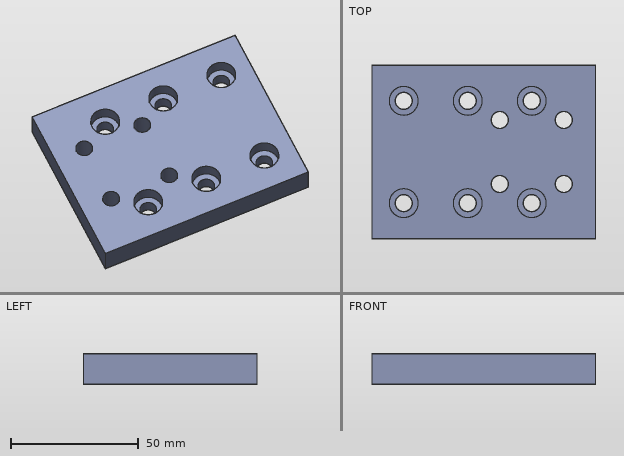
import cadquery as cq

length = 87.5
width = 68.0
thickness = 12.0

hole_diameter = 6.6
counterbore_diameter = 11.3
counterbore_depth = 6.0

pitch = 25.0
counterbore_row_spacing = 40.0
counterbore_columns = 3
counterbore_rows = 2
counterbore_center_x = -pitch / 4
square_center_x = 3 * pitch / 4

plate = cq.Workplane("XY").box(length, width, thickness)

counterbored_plate = (
    plate.faces(">Z")
    .workplane(origin=(counterbore_center_x, 0, 0))
    .rarray(pitch, counterbore_row_spacing, counterbore_columns, counterbore_rows)
    .cboreHole(hole_diameter, counterbore_diameter, counterbore_depth)
)

result = (
    counterbored_plate.faces(">Z")
    .workplane(origin=(square_center_x, 0, 0))
    .rect(pitch, pitch, forConstruction=True)
    .vertices()
    .hole(hole_diameter)
)